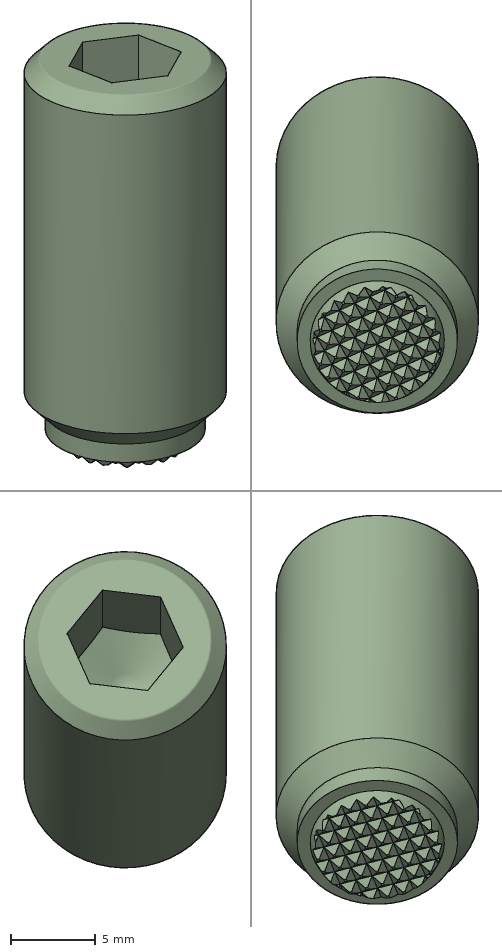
import cadquery as cq
import math

LENGTH = 25.0
BODY_RADIUS = 6.0

BALL_PROJECTION = 0.85
COLLAR_HEIGHT = 1.2
COLLAR_RADIUS = 4.75
TAPER_HEIGHT = BODY_RADIUS - COLLAR_RADIUS
COLLAR_BOTTOM = BALL_PROJECTION
COLLAR_TOP = COLLAR_BOTTOM + COLLAR_HEIGHT
TAPER_TOP = COLLAR_TOP + TAPER_HEIGHT

CHAMFER = 0.9
RIM_ROUND = 0.18
FACE_RADIUS = BODY_RADIUS - CHAMFER
CHAMFER_BOTTOM = LENGTH - CHAMFER

HEX_SIDES = 6
HEX_ACROSS_FLATS = 6.0
HEX_DEPTH = 6.0
DRILL_POINT_ANGLE = 120.0
HEX_ACROSS_CORNERS = HEX_ACROSS_FLATS / math.cos(math.pi / HEX_SIDES)
POINT_RADIUS = HEX_ACROSS_CORNERS / 2
POINT_DEPTH = POINT_RADIUS / math.tan(math.radians(DRILL_POINT_ANGLE / 2))

BALL_RADIUS = 4.12
BALL_CENTER_Z = 1.95

TOOTH_PITCH = 1.0
TOOTH_FLAT = 0.15
GROOVE_HALF_WIDTH = (TOOTH_PITCH - TOOTH_FLAT) / 2
GROOVE_DEPTH = GROOVE_HALF_WIDTH
GROOVES_PER_SIDE = 3


def make_ball_blank():
    """Full sphere shared by the ball and its seat."""
    return cq.Workplane("XY").sphere(BALL_RADIUS).translate((0, 0, BALL_CENTER_Z))


def make_hex_socket():
    """Hexagonal prism ending in the cone left by a drill."""
    socket_floor = LENGTH - HEX_DEPTH
    tip = socket_floor - POINT_DEPTH
    prism = (
        cq.Workplane("XY", origin=(0, 0, tip))
        .polygon(HEX_SIDES, HEX_ACROSS_CORNERS)
        .extrude(LENGTH - tip)
    )
    drill = (
        cq.Workplane("XZ")
        .moveTo(0, tip)
        .lineTo(POINT_RADIUS, socket_floor)
        .lineTo(POINT_RADIUS, LENGTH)
        .lineTo(0, LENGTH)
        .close()
        .revolve(360, (0, 0), (0, 1))
    )
    return prism.intersect(drill)


def make_screw_body():
    """Turned body with a hexagon socket on top and a spherical seat below."""
    turned = (
        cq.Workplane("XZ")
        .moveTo(0, COLLAR_BOTTOM)
        .lineTo(COLLAR_RADIUS, COLLAR_BOTTOM)
        .lineTo(COLLAR_RADIUS, COLLAR_TOP)
        .lineTo(BODY_RADIUS, TAPER_TOP)
        .lineTo(BODY_RADIUS, CHAMFER_BOTTOM)
        .lineTo(FACE_RADIUS, LENGTH)
        .lineTo(0, LENGTH)
        .close()
        .revolve(360, (0, 0), (0, 1))
    )
    turned = turned.faces(">Z").edges().fillet(RIM_ROUND)
    return turned.cut(make_hex_socket()).cut(make_ball_blank())


def make_groove(offset):
    """V groove along Y, open at z = 0 and centred at x = offset."""
    return (
        cq.Workplane("XZ")
        .moveTo(offset - GROOVE_HALF_WIDTH, 0)
        .lineTo(offset, GROOVE_DEPTH)
        .lineTo(offset + GROOVE_HALF_WIDTH, 0)
        .close()
        .extrude(BALL_RADIUS, both=True)
    )


def make_gripper_ball():
    """Ball cut flat at z = 0, with crossed grooves leaving pyramid teeth."""
    size = 2 * BALL_RADIUS
    below_face = cq.Workplane("XY").box(size, size, size, centered=(True, True, False)).translate((0, 0, -size))
    ball = make_ball_blank().cut(below_face)
    for index in range(-GROOVES_PER_SIDE, GROOVES_PER_SIDE + 1):
        groove = make_groove(index * TOOTH_PITCH)
        ball = ball.cut(groove)
        ball = ball.cut(groove.rotate((0, 0, 0), (0, 0, 1), 90))
    return ball


screw_body = make_screw_body()
gripper_ball = make_gripper_ball()

result = cq.Compound.makeCompound([screw_body.val(), gripper_ball.val()])